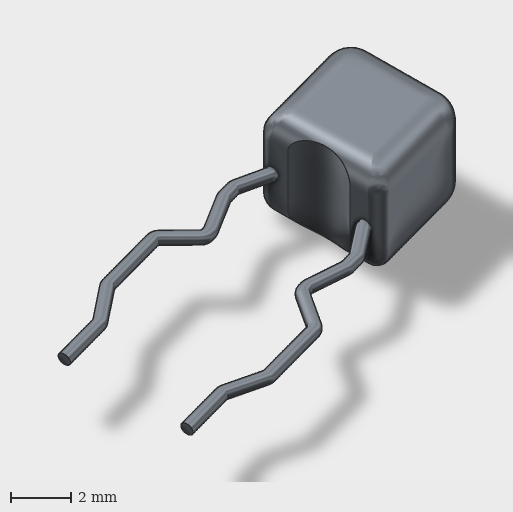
import cadquery as cq

HOUSING_SIDE = 5.08
HOUSING_DEPTH = 4.82
ROUNDING = 1.0
FRONT_UPRIGHT_ROUNDING = 0.5

SCOOP_HALF_WIDTH = 1.29
SCOOP_DEPTH = 0.37

WIRE_DIAMETER = 0.51
BEND_RADIUS = 0.26
EMBED_DEPTH = WIRE_DIAMETER
TOTAL_LENGTH = 15.49
OUTER_WIDTH = 7.15

EXIT_X = 1.92
SHOULDER_X = HOUSING_SIDE / 2
WAIST_X = 2.01
STANDOFF_X = OUTER_WIDTH / 2 - WIRE_DIAMETER / 2
TIP_X = SHOULDER_X

TIP_Y = HOUSING_DEPTH - TOTAL_LENGTH

LEAD_AXIS = [
    (EXIT_X, EMBED_DEPTH),
    (EXIT_X, -0.11),
    (SHOULDER_X, -1.3),
    (SHOULDER_X, -1.86),
    (WAIST_X, -3.31),
    (WAIST_X, -3.62),
    (STANDOFF_X, -4.63),
    (STANDOFF_X, -7.25),
    (TIP_X, -8.7),
    (TIP_X, TIP_Y),
]


def make_lead(side):
    """One bent wire; side is +1 for the +X lead and -1 for the -X lead."""
    corners = [cq.Vector(side * x, y, 0) for x, y in LEAD_AXIS]
    sharp_axis = cq.Wire.makePolygon(corners)
    axis = sharp_axis.fillet(BEND_RADIUS, sharp_axis.Vertices()[1:-1])
    section = cq.Workplane("XZ", origin=corners[0].toTuple()).circle(WIRE_DIAMETER / 2)
    return section.sweep(cq.Workplane(axis))


def make_scoop():
    """Cutter for the scoop: a circular segment run the full housing height."""
    return (
        cq.Workplane("XY", origin=(0, 0, -HOUSING_SIDE / 2))
        .moveTo(-SCOOP_HALF_WIDTH, 0)
        .threePointArc((0, SCOOP_DEPTH), (SCOOP_HALF_WIDTH, 0))
        .close()
        .extrude(HOUSING_SIDE)
    )


def make_housing(leads):
    """Rounded block with the scoop and a socket for each lead."""
    block = cq.Workplane("XY").box(HOUSING_SIDE, HOUSING_DEPTH, HOUSING_SIDE)
    block = block.translate((0, HOUSING_DEPTH / 2, 0))
    block = block.edges("|Y or >Y or (<Y and |X)").fillet(ROUNDING)
    block = block.edges("<Y and |Z").fillet(FRONT_UPRIGHT_ROUNDING)
    housing = block.cut(make_scoop())
    for lead in leads:
        housing = housing.cut(lead)
    return housing.solids()


leads = [make_lead(side) for side in (-1, 1)]
housing = make_housing(leads)

result = cq.Compound.makeCompound([housing.val(), *[lead.val() for lead in leads]])